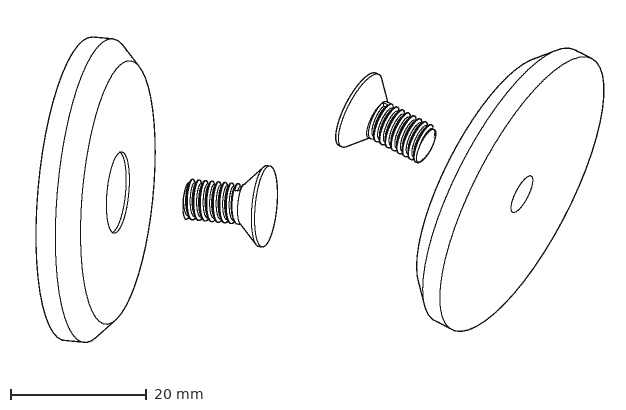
import cadquery as cq
import math

disc_diameter = 45.0
disc_thickness = 6.0
disc_bevel = disc_thickness / 2

head_diameter = 12.0
thread_diameter = 6.0
head_rim_length = 0.5
head_cone_length = (head_diameter - thread_diameter) / 2
screw_length = 12.0
screw_end_x = 28.75
screw_tip_x = screw_end_x - screw_length
shank_length = screw_length - head_rim_length - head_cone_length

core_diameter = 5.0
thread_pitch = 1.0
thread_turns = 8 + 1 / 12
lead_in_turns = 1
thread_crest_width = thread_pitch / 8
thread_flank_angle = 30.0
cutter_overshoot = 0.05

hole_diameter = thread_diameter
countersink_depth = head_rim_length + head_cone_length


def revolve_about_x(profile):
    """Spin a closed (x, radius) outline around the X axis."""
    return cq.Workplane("XY").polyline(profile).close().revolve(360, (0, 0), (1, 0))


def make_disc():
    outer_radius = disc_diameter / 2
    hole_radius = hole_diameter / 2
    sink_radius = head_diameter / 2
    return revolve_about_x([
        (0, hole_radius),
        (0, outer_radius),
        (disc_thickness - disc_bevel, outer_radius),
        (disc_thickness, outer_radius - disc_bevel),
        (disc_thickness, sink_radius),
        (disc_thickness - head_rim_length, sink_radius),
        (disc_thickness - countersink_depth, hole_radius),
    ])


def make_screw_blank():
    """Plain shank and countersunk head, with the tip at X = 0."""
    shank_radius = thread_diameter / 2
    head_radius = head_diameter / 2
    return revolve_about_x([
        (0, 0),
        (0, shank_radius),
        (shank_length, shank_radius),
        (shank_length + head_cone_length, head_radius),
        (screw_length, head_radius),
        (screw_length, 0),
    ])


def make_thread_cutter():
    """Right-handed V groove, centred on the top of the tip and ending just past the top near the head."""
    root_radius = core_diameter / 2
    shank_radius = thread_diameter / 2
    outer_radius = shank_radius + cutter_overshoot
    flank_slope = math.tan(math.radians(thread_flank_angle))
    half_mouth = (thread_pitch - thread_crest_width) / 2
    half_root = half_mouth - (shank_radius - root_radius) * flank_slope
    half_outer = half_mouth + cutter_overshoot * flank_slope
    helix_length = (thread_turns + lead_in_turns) * thread_pitch
    path = cq.Wire.makeHelix(thread_pitch, helix_length, root_radius)
    return (
        cq.Workplane("XZ")
        .polyline([
            (root_radius, -half_root),
            (outer_radius, -half_outer),
            (outer_radius, half_outer),
            (root_radius, half_root),
        ])
        .close()
        .sweep(path, isFrenet=True)
        .rotate((0, 0, 0), (0, 1, 0), 90)
        .rotate((0, 0, 0), (1, 0, 0), 180)
        .translate((-lead_in_turns * thread_pitch, 0, 0))
    )


def make_screw():
    screw = make_screw_blank().cut(make_thread_cutter())
    return screw.translate((screw_tip_x, 0, 0))


disc = make_disc()
screw = make_screw()

result = cq.Compound.makeCompound([disc.val(), *screw.vals()])